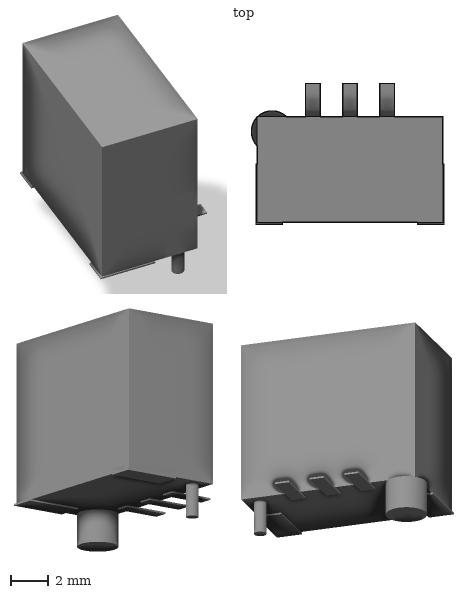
import cadquery as cq

overall_height = 10.7

housing_width = 10.0
housing_depth = 5.7
housing_height = 8.9

pin_length = overall_height - housing_height
large_pin_diameter = 2.24
small_pin_diameter = 0.7
pin_inset = 0.8

sheet_thickness = 0.1
lead_count = 3
lead_width = 0.8
lead_pitch = 2.0
lead_overhang = 1.8
pad_width = 1.43
pad_length = 3.25
pad_side_overhang = 0.07
pad_front_overhang = 0.12

rear_face = housing_depth / 2
front_face = -housing_depth / 2
pin_x = housing_width / 2 - pin_inset
pin_y = rear_face - pin_inset
pad_x = housing_width / 2 + pad_side_overhang - pad_width / 2
pad_y = front_face - pad_front_overhang + pad_length / 2


def make_housing():
    return cq.Workplane("XY").box(
        housing_width, housing_depth, housing_height, centered=(True, True, False)
    )


def make_pin(diameter, x):
    """Round pin hanging from the underside."""
    return cq.Workplane("XY").center(x, pin_y).circle(diameter / 2).extrude(-pin_length)


def make_lead(x):
    """Flat lead reaching from the pin axis line out behind the housing."""
    length = lead_overhang + pin_inset
    y = pin_y + length / 2
    return cq.Workplane("XY").center(x, y).rect(lead_width, length).extrude(-sheet_thickness)


def make_pad(x):
    """Solder pad under a front corner."""
    return cq.Workplane("XY").center(x, pad_y).rect(pad_width, pad_length).extrude(-sheet_thickness)


housing = make_housing()
large_pin = make_pin(large_pin_diameter, -pin_x)
small_pin = make_pin(small_pin_diameter, pin_x)
leads = [make_lead((i - (lead_count - 1) / 2) * lead_pitch) for i in range(lead_count)]
pads = [make_pad(side * pad_x) for side in (-1, 1)]

result = cq.Compound.makeCompound([
    housing.val(),
    large_pin.val(),
    small_pin.val(),
    *[lead.val() for lead in leads],
    *[pad.val() for pad in pads],
])